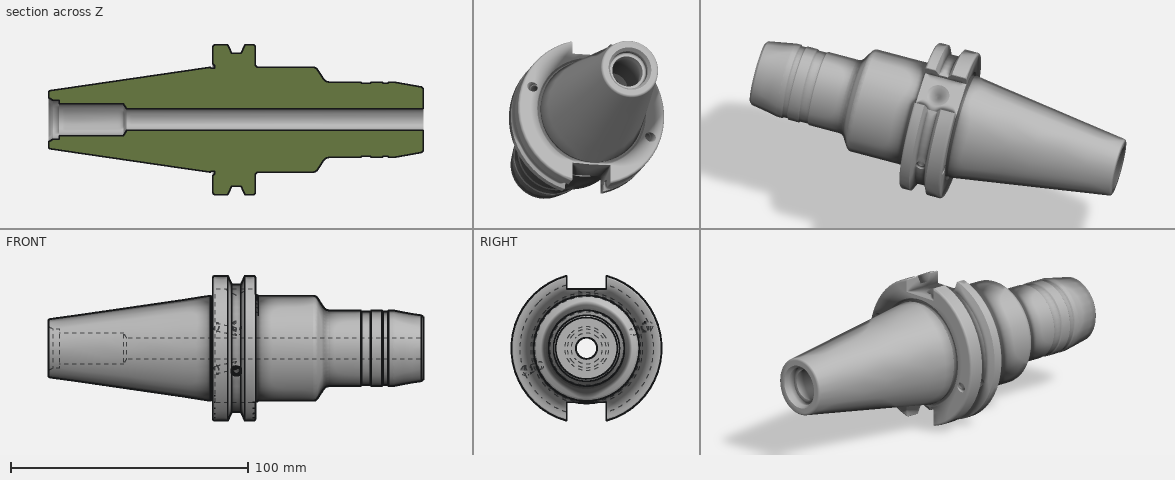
import cadquery as cq
import math

LENGTH = 158.2

GAUGE_RADIUS = 44.5 / 2
TAPER_END = 68.4
TAPER_PER_DIAMETER = 7 / 24
SHANK_FILLET = 1.0
RELIEF_RADIUS = 43.8 / 2
RELIEF_FLOOR_RADIUS = 22.8
RELIEF_MOUTH_RADIUS = 23.6
RELIEF_DEPTH = 0.8

FLANGE_START = 69.3
FLANGE_END = 87.4
FLANGE_RADIUS = 63.5 / 2
FLANGE_FILLET = 1.0
GROOVE_CENTER = 79.3
GROOVE_FLOOR_WIDTH = 3.8
GROOVE_RADIUS = 28.2
GROOVE_WALL_ANGLE = 26.0

SLOT_WIDTH = 16.6
SLOT_CHAMFER = 0.3
TOP_SLOT_FLOOR = 25.0
BOTTOM_SLOT_FLOOR = 22.8
DIMPLE_DIAMETER = 9.5
DIMPLE_DEPTH = 2.7

BODY_RADIUS = GAUGE_RADIUS
BODY_ROOT_FILLET = 1.1
SHOULDER_START = 112.8
SHOULDER_ANGLE = 57.0
SHOULDER_TOP_FILLET = 2.2
SHOULDER_ROOT_FILLET = 2.7

NECK_RADIUS = 32.0 / 2
BAND_RADIUS = 31.0 / 2
BANDS = [(131.7, 136.3), (140.7, 143.5)]
NOSE_START = 145.6
NOSE_END_RADIUS = 14.0
NOSE_FILLET = 3.2
NOSE_CHAMFER = 1.0

COUNTERBORE_DIAMETER = 16.3
COUNTERBORE_DEPTH = 4.6
BORE_MOUTH_DIAMETER = 18.5
BORE_MOUTH_DEPTH = 1.9
INNER_BORE_DIAMETER = 13.1
INNER_BORE_DEPTH = 31.6
THROUGH_DIAMETER = 8.9
DRILL_POINT_ANGLE = 118.0

COOLANT_ANGLE = 20.0
COOLANT_RADIUS = 27.2
COOLANT_TILT = 33.0
COOLANT_MOUTH_DIAMETER = 4.0
COOLANT_MOUTH_DEPTH = 1.9
COOLANT_DIAMETER = 3.2
COOLANT_DEPTH = 11.9
CROSS_HOLE_DIAMETER = 3.2
CROSS_MOUTH_DIAMETER = 4.3
CROSS_MOUTH_FLOOR = 26.9
CROSS_HOLE_FLOOR = 20.5


def revolve_about_x(points):
    """Revolve a closed (x, radius) outline about the X axis."""
    return cq.Workplane("XY").polyline(points).close().revolve(360, (0, 0, 0), (1, 0, 0))


def edge_at(x, radius):
    """Selector for the circular edge at the given place on the X axis."""
    reach = radius + 0.2
    return cq.selectors.BoxSelector((x - 0.2, -reach, -reach), (x + 0.2, reach, reach), True)


def make_shank():
    slope = TAPER_PER_DIAMETER / 2
    end_radius = GAUGE_RADIUS - TAPER_END * slope
    relief_chamfer = GAUGE_RADIUS - RELIEF_RADIUS
    shank = revolve_about_x([
        (0, 0),
        (0, end_radius),
        (TAPER_END, GAUGE_RADIUS),
        (TAPER_END + relief_chamfer, RELIEF_RADIUS),
        (FLANGE_START + RELIEF_DEPTH, RELIEF_RADIUS),
        (FLANGE_START + RELIEF_DEPTH, 0),
    ])
    return shank.edges(edge_at(0, end_radius)).fillet(SHANK_FILLET)


def make_flange():
    half_floor = GROOVE_FLOOR_WIDTH / 2
    wall_run = (FLANGE_RADIUS - GROOVE_RADIUS) * math.tan(math.radians(GROOVE_WALL_ANGLE))
    half_mouth = half_floor + wall_run
    flange = revolve_about_x([
        (FLANGE_START + RELIEF_DEPTH, 0),
        (FLANGE_START + RELIEF_DEPTH, RELIEF_FLOOR_RADIUS),
        (FLANGE_START, RELIEF_MOUTH_RADIUS),
        (FLANGE_START, FLANGE_RADIUS),
        (GROOVE_CENTER - half_mouth, FLANGE_RADIUS),
        (GROOVE_CENTER - half_floor, GROOVE_RADIUS),
        (GROOVE_CENTER + half_floor, GROOVE_RADIUS),
        (GROOVE_CENTER + half_mouth, FLANGE_RADIUS),
        (FLANGE_END, FLANGE_RADIUS),
        (FLANGE_END, 0),
    ])
    for x in (FLANGE_START, FLANGE_END):
        flange = flange.edges(edge_at(x, FLANGE_RADIUS)).edges(cq.selectors.RadiusNthSelector(-1))
        flange = flange.fillet(FLANGE_FILLET)
    return flange


def make_body_and_nose():
    shoulder_run = (BODY_RADIUS - NECK_RADIUS) / math.tan(math.radians(SHOULDER_ANGLE))
    shoulder_end = SHOULDER_START + shoulder_run
    points = [
        (FLANGE_END, 0),
        (FLANGE_END, BODY_RADIUS),
        (SHOULDER_START, BODY_RADIUS),
        (shoulder_end, NECK_RADIUS),
    ]
    band_chamfer = NECK_RADIUS - BAND_RADIUS
    for start, end in BANDS:
        points += [
            (start, NECK_RADIUS),
            (start + band_chamfer, BAND_RADIUS),
            (end - band_chamfer, BAND_RADIUS),
            (end, NECK_RADIUS),
        ]
    points += [
        (NOSE_START, NECK_RADIUS),
        (LENGTH - NOSE_CHAMFER, NOSE_END_RADIUS),
        (LENGTH, NOSE_END_RADIUS - NOSE_CHAMFER),
        (LENGTH, 0),
    ]
    body = revolve_about_x(points)
    body = body.edges(edge_at(SHOULDER_START, BODY_RADIUS)).fillet(SHOULDER_TOP_FILLET)
    body = body.edges(edge_at(shoulder_end, NECK_RADIUS)).fillet(SHOULDER_ROOT_FILLET)
    return body.edges(edge_at(NOSE_START, NECK_RADIUS)).fillet(NOSE_FILLET)


def make_bore():
    half_point = math.radians(DRILL_POINT_ANGLE / 2)
    cone_length = (INNER_BORE_DIAMETER - THROUGH_DIAMETER) / 2 / math.tan(half_point)
    return revolve_about_x([
        (0, 0),
        (0, BORE_MOUTH_DIAMETER / 2),
        (BORE_MOUTH_DEPTH, COUNTERBORE_DIAMETER / 2),
        (COUNTERBORE_DEPTH, COUNTERBORE_DIAMETER / 2),
        (COUNTERBORE_DEPTH, INNER_BORE_DIAMETER / 2),
        (INNER_BORE_DEPTH, INNER_BORE_DIAMETER / 2),
        (INNER_BORE_DEPTH + cone_length, THROUGH_DIAMETER / 2),
        (LENGTH, THROUGH_DIAMETER / 2),
        (LENGTH, 0),
    ])


def make_slot(floor, side):
    """Slot along X, chamfered at the flange rim; side is +1 above the axis, -1 below."""
    half_width = SLOT_WIDTH / 2
    rim_height = math.sqrt(FLANGE_RADIUS ** 2 - half_width ** 2)
    chamfer_start = rim_height - SLOT_CHAMFER
    half_mouth = half_width + FLANGE_RADIUS - chamfer_start
    outline = [
        (-half_width, side * floor),
        (half_width, side * floor),
        (half_width, side * chamfer_start),
        (half_mouth, side * FLANGE_RADIUS),
        (-half_mouth, side * FLANGE_RADIUS),
        (-half_width, side * chamfer_start),
    ]
    slot = cq.Workplane("YZ", origin=(FLANGE_START, 0, 0)).polyline(outline).close()
    return slot.extrude(FLANGE_END - FLANGE_START)


def make_dimple():
    """Conical dimple in the floor of the upper slot."""
    cone = cq.Solid.makeCone(DIMPLE_DIAMETER / 2, 0, DIMPLE_DEPTH,
                             cq.Vector(GROOVE_CENTER, 0, TOP_SLOT_FLOOR), cq.Vector(0, 0, -1))
    return cq.Workplane(cone)


def make_radial_hole(diameter, floor):
    """Hole along +Y from the groove down to the given distance from the axis."""
    return cq.Workplane(cq.Solid.makeCylinder(
        diameter / 2, FLANGE_RADIUS - floor, cq.Vector(GROOVE_CENTER, floor, 0), cq.Vector(0, 1, 0)))


def make_coolant_hole():
    """Stepped hole leaning inward from the flange face, met by a stepped radial hole from the groove."""
    tilt = math.radians(COOLANT_TILT)
    mouth = cq.Vector(FLANGE_START, COOLANT_RADIUS, 0)
    direction = cq.Vector(math.cos(tilt), -math.sin(tilt), 0)
    start = mouth - direction * COOLANT_MOUTH_DIAMETER
    wide_length = COOLANT_MOUTH_DIAMETER + COOLANT_MOUTH_DEPTH
    wide = cq.Solid.makeCylinder(COOLANT_MOUTH_DIAMETER / 2, wide_length, start, direction)
    narrow = cq.Solid.makeCylinder(COOLANT_DIAMETER / 2, COOLANT_DEPTH, mouth, direction)
    hole = cq.Workplane(wide).union(cq.Workplane(narrow))
    hole = hole.union(make_radial_hole(CROSS_MOUTH_DIAMETER, CROSS_MOUTH_FLOOR))
    return hole.union(make_radial_hole(CROSS_HOLE_DIAMETER, CROSS_HOLE_FLOOR))


result = make_shank().union(make_flange()).union(make_body_and_nose())
result = result.edges(edge_at(FLANGE_END, BODY_RADIUS)).fillet(BODY_ROOT_FILLET)
result = result.cut(make_bore())
result = result.cut(make_slot(TOP_SLOT_FLOOR, 1))
result = result.cut(make_slot(BOTTOM_SLOT_FLOOR, -1))
result = result.cut(make_dimple())
for turn in (COOLANT_ANGLE, COOLANT_ANGLE + 180):
    result = result.cut(make_coolant_hole().rotate((0, 0, 0), (1, 0, 0), turn))